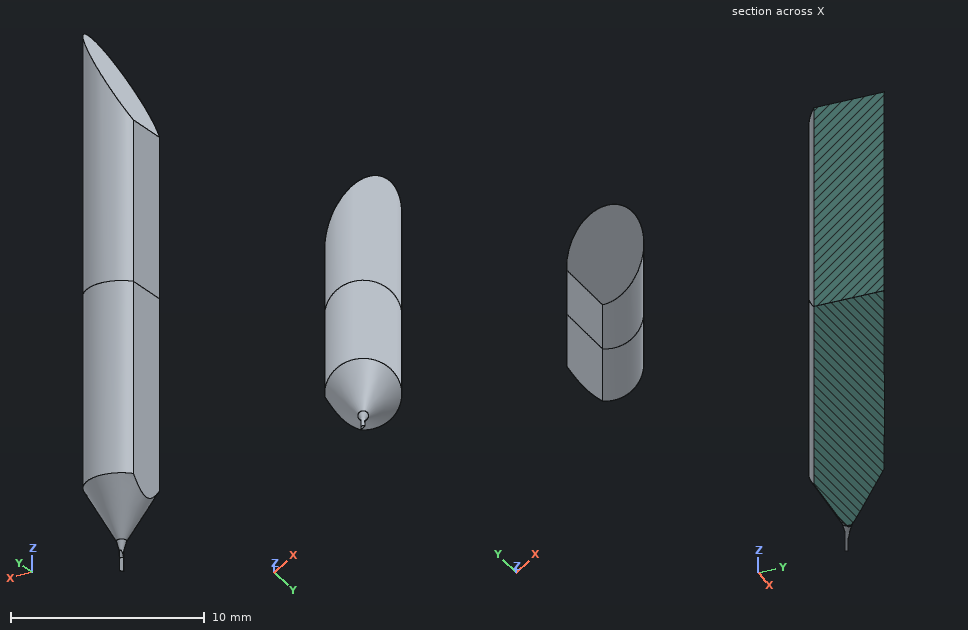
import cadquery as cq
import math

total_length = 30.72
shank_radius = 2.0
flat_offset = 1.5
joint_height = 15.55
bevel_angle = 60.0
cone_half_angle = 30.0
cone_bottom = 1.72
neck_radius = 0.28
neck_bottom = 1.17
cutter_radius = 0.12
half_cut_top = 0.8
end_relief = 0.1

cone_height = (shank_radius - neck_radius) / math.tan(math.radians(cone_half_angle))
cone_top = cone_bottom + cone_height
bevel_drop = (shank_radius + flat_offset) * math.tan(math.radians(bevel_angle))


def revolve_profile(points):
    """Revolve a closed (radius, height) outline about the Z axis."""
    return cq.Workplane("XZ").polyline(points).close().revolve(360, (0, 0), (0, 1))


def shank_envelope():
    """Block that trims a shank half along the clamping flat on its -X side."""
    return cq.Workplane("XY").box(
        flat_offset + shank_radius, 2 * shank_radius, total_length, centered=(False, True, False)
    ).translate((-flat_offset, 0, 0))


def make_rear_shank():
    """Flatted rod whose upper end is bevelled, highest on the +X side."""
    rod = (
        cq.Workplane("XY", origin=(0, 0, joint_height))
        .circle(shank_radius)
        .extrude(total_length - joint_height)
    )
    bevel_waste = (
        cq.Workplane("XZ")
        .moveTo(-flat_offset, total_length - bevel_drop)
        .lineTo(shank_radius, total_length)
        .lineTo(-flat_offset, total_length)
        .close()
        .extrude(shank_radius, both=True)
    )
    return rod.intersect(shank_envelope()).cut(bevel_waste)


def make_front_shank():
    """Flatted rod that tapers to the cutter neck."""
    tapered_rod = revolve_profile([
        (0, cone_bottom),
        (neck_radius, cone_bottom),
        (shank_radius, cone_top),
        (shank_radius, joint_height),
        (0, joint_height),
    ])
    return tapered_rod.intersect(shank_envelope())


def make_cutter():
    """Tapered neck and thin tip, with the +Y half of the tip cut away and the end relieved."""
    blank = revolve_profile([
        (0, 0),
        (cutter_radius, 0),
        (cutter_radius, neck_bottom),
        (neck_radius, cone_bottom),
        (0, cone_bottom),
    ])
    half_cut = (
        cq.Workplane("YZ")
        .moveTo(0, 0)
        .lineTo(cutter_radius, 0)
        .lineTo(cutter_radius, neck_bottom)
        .lineTo(0, half_cut_top)
        .close()
        .extrude(cutter_radius, both=True)
    )
    end_waste = (
        cq.Workplane("XZ")
        .moveTo(-cutter_radius, 0)
        .lineTo(cutter_radius, 0)
        .lineTo(cutter_radius, end_relief)
        .close()
        .extrude(cutter_radius, both=True)
    )
    return blank.cut(half_cut).cut(end_waste)


rear_shank = make_rear_shank()
front_shank = make_front_shank()
cutter = make_cutter()

result = cq.Compound.makeCompound([rear_shank.val(), front_shank.val(), cutter.val()])